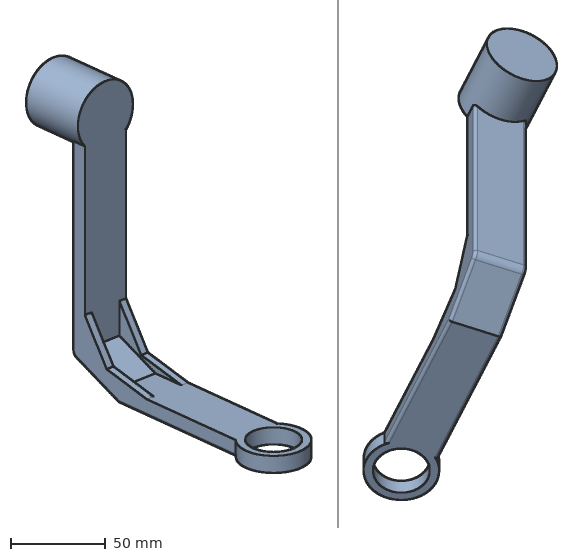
import cadquery as cq
import math

total_length = 190.0
total_height = 175.0
head_diameter = 40.0
eye_hole_diameter = 30.0
arm_width = 30.0
thickness = 10.0
rib_width = 5.0
edge_radius = 1.9
knee_radius = 5.0
heel_height = 16.0
heel_end_x = 65.7
rib_top_z = 42.8
rib_middle_x, rib_middle_z = 57.0, 17.0
rib_end_x = 88.0

head_radius = head_diameter / 2
head_center_z = total_height - head_radius
post_back_x = head_diameter
post_front_x = post_back_x - thickness
eye_center_x = total_length - head_radius
heel_angle = math.atan2(heel_height, heel_end_x - post_front_x)
web_end_x = heel_end_x + thickness * math.tan(heel_angle / 2)
web_start_z = thickness + (web_end_x - post_back_x) * math.tan(heel_angle)


def make_arm():
    """Bent strip of constant thickness with a rounded outer face."""
    outline = [
        (post_front_x, head_center_z),
        (post_front_x, heel_height),
        (heel_end_x, 0),
        (eye_center_x, 0),
        (eye_center_x, thickness),
        (web_end_x, thickness),
        (post_back_x, web_start_z),
        (post_back_x, head_center_z),
    ]
    arm = cq.Workplane("XZ").polyline(outline).close().extrude(arm_width / 2, both=True)
    knee = cq.selectors.NearestToPointSelector((post_front_x, 0, heel_height))
    arm = arm.edges(knee).fillet(knee_radius)
    underside_edges = arm.faces("<Z").edges("|X")
    heel_and_post = arm.faces("<X").edges("|Z")
    heel_face = cq.selectors.NearestToPointSelector(
        ((post_front_x + heel_end_x) / 2, 0, heel_height / 2)
    )
    heel_edges = arm.faces(heel_face).edges("not |Y")
    knee_edges = arm.edges("%CIRCLE")
    long_edges = underside_edges.add(heel_and_post).add(heel_edges).add(knee_edges)
    return long_edges.fillet(edge_radius)


def make_rib(side):
    """Inner corner rib flush with one side of the arm; side is -1 or 1."""
    outline = [
        (post_back_x, rib_top_z),
        (rib_middle_x, rib_middle_z),
        (rib_end_x, thickness),
        (web_end_x, thickness),
        (post_back_x, web_start_z),
    ]
    rib = cq.Workplane("XZ").polyline(outline).close().extrude(rib_width / 2, both=True)
    return rib.translate((0, side * (arm_width - rib_width) / 2, 0))


head = cq.Workplane("YZ").center(0, head_center_z).circle(head_radius).extrude(head_diameter)
eye = cq.Workplane("XY").center(eye_center_x, 0).circle(head_radius).extrude(thickness)
eye_hole = (
    cq.Workplane("XY").center(eye_center_x, 0).circle(eye_hole_diameter / 2).extrude(thickness)
)

result = make_arm().union(head).union(eye)
for rib_side in (-1, 1):
    result = result.union(make_rib(rib_side))
result = result.cut(eye_hole)